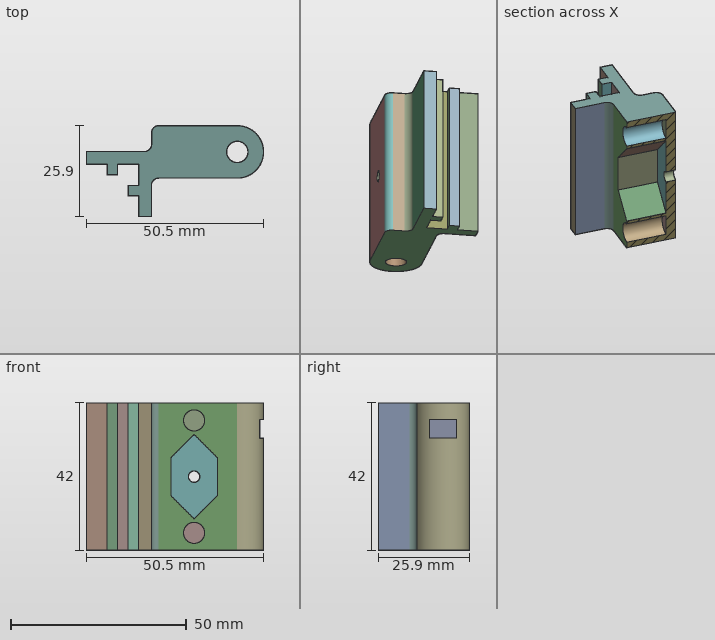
import cadquery as cq

length = 50.5
height = 42.0
arm_width = 15.0
arm_radius = arm_width / 2
pivot_x = length - arm_radius
pivot_diameter = 6.0

flange_reach = 18.6
flange_thickness = 3.7
rib_size = 3.0
rib_offset = 5.95
blend_radius = 2.0
arm_front = 10.95
arm_back = arm_front + arm_width
inner_corner = flange_reach - flange_thickness
rib_tip = inner_corner - rib_size
rib_far = rib_offset + rib_size

pocket_x = 30.7
pocket_half_width = 6.6
pocket_half_height = 12.0
pocket_shoulder = pocket_half_height - pocket_half_width
pocket_depth = 12.0
bolt_diameter = 3.2
blind_diameter = 6.0
blind_spacing = 32.0
blind_depth = 12.0

notch_depth = 1.05
notch_height = 5.25
notch_from_top = 4.8


def make_body():
    """Extrude the arm together with its ribbed corner bracket."""
    profile = (
        cq.Workplane("XY")
        .moveTo(0, inner_corner)
        .lineTo(rib_offset, inner_corner)
        .lineTo(rib_offset, rib_tip)
        .lineTo(rib_far, rib_tip)
        .lineTo(rib_far, inner_corner)
        .lineTo(inner_corner, inner_corner)
        .lineTo(inner_corner, rib_far)
        .lineTo(rib_tip, rib_far)
        .lineTo(rib_tip, rib_offset)
        .lineTo(inner_corner, rib_offset)
        .lineTo(inner_corner, 0)
        .lineTo(flange_reach, 0)
        .lineTo(flange_reach, arm_front)
        .lineTo(pivot_x, arm_front)
        .threePointArc((length, arm_front + arm_radius), (pivot_x, arm_back))
        .lineTo(flange_reach, arm_back)
        .lineTo(flange_reach, flange_reach)
        .lineTo(0, flange_reach)
        .close()
    )
    body = profile.extrude(height)
    for corner_y in (arm_front, flange_reach, arm_back):
        corner = cq.NearestToPointSelector((flange_reach, corner_y, height / 2))
        body = body.edges("|Z").edges(corner).fillet(blend_radius)
    return body


def front_plane():
    """Workplane on the arm's front face, centred on the pocket; local Y is up."""
    return cq.Workplane("XZ", origin=(pocket_x, arm_front, height / 2))


def make_pocket():
    """Elongated six-sided pocket with pointed ends."""
    outline = [
        (0, pocket_half_height),
        (pocket_half_width, pocket_shoulder),
        (pocket_half_width, -pocket_shoulder),
        (0, -pocket_half_height),
        (-pocket_half_width, -pocket_shoulder),
        (-pocket_half_width, pocket_shoulder),
    ]
    return front_plane().polyline(outline).close().extrude(-pocket_depth)


def make_front_holes():
    """Through hole in the pocket floor and a blind hole above and below it."""
    bolt_hole = front_plane().circle(bolt_diameter / 2).extrude(-arm_width)
    blind_centres = [(0, blind_spacing / 2), (0, -blind_spacing / 2)]
    blind_holes = front_plane().pushPoints(blind_centres).circle(blind_diameter / 2).extrude(-blind_depth)
    return bolt_hole.union(blind_holes)


def make_pivot_hole():
    """Vertical hole concentric with the rounded end."""
    pivot = cq.Workplane("XY").center(pivot_x, arm_front + arm_radius)
    return pivot.circle(pivot_diameter / 2).extrude(height)


def make_notch():
    """Flat cut across the rounded end, near the top."""
    notch_bottom = height - notch_from_top - notch_height
    notch = cq.Workplane("XY").box(notch_depth, arm_width, notch_height, centered=False)
    return notch.translate((length - notch_depth, arm_front, notch_bottom))


result = make_body()
for cutter in (make_pocket(), make_front_holes(), make_pivot_hole(), make_notch()):
    result = result.cut(cutter)